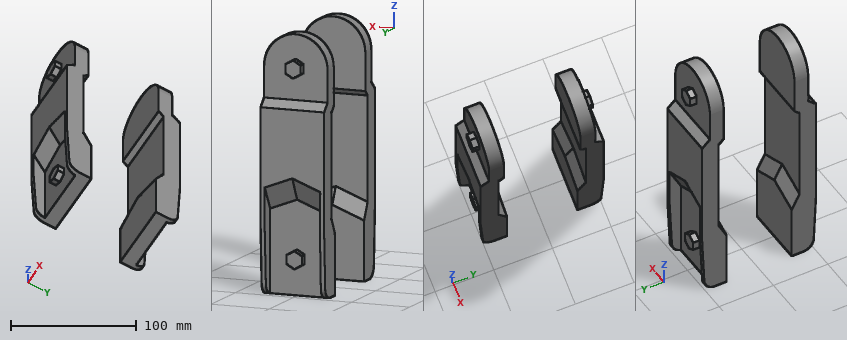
import cadquery as cq
import math

height = 212.5
width = 54.8
span = 105.0
half_width = width / 2
outer_y = -span / 2

tab_outer_depth = 7.2
tab_thickness = 12.7
body_thickness = 15.3
tab_inner_depth = tab_outer_depth + tab_thickness
outer_shoulder_top = 159.1
outer_shoulder_bottom = 152.5
inner_shoulder_top = 154.0
inner_shoulder_bottom = 149.5
taper_start = 55.0
taper_depth = 2.5
toe_radius = 9.8
round_center_z = height - half_width

roof_slope = 0.386
ramp_slope = 1.9

pad_depth = 22.5
pad_apex_z = 74.0

pocket_depth = 10.0
pocket_apex_z = 96.9
pocket_half_width = 23.8
pocket_floor_half_width = 23.2
cut_overrun = 4.2

bolt_flats = 13.0
bolt_height = 6.0
lower_bolt_z = 30.0


def depth_to_y(depth):
    return outer_y + depth


def roof_outline(depth, apex_z, half, bottom_z):
    """Closed outline with a pointed top, in a plane at the given depth."""
    y = depth_to_y(depth)
    eave_z = apex_z - roof_slope * half
    points = [(0, apex_z), (half, eave_z), (half, bottom_z), (-half, bottom_z), (-half, eave_z)]
    return cq.Wire.makePolygon([cq.Vector(x, y, z) for x, z in points], close=True)


def ramped_block(start, end, bottom_z):
    """Flat-sided block between two roof outlines, each given as depth, apex and half width."""
    outlines = [roof_outline(*section, bottom_z) for section in (start, end)]
    return cq.Workplane(obj=cq.Solid.makeLoft(outlines, True))


def make_plate():
    """Cranked plate with a thick inner pad and a tapered, rounded toe."""
    profile = [
        (tab_outer_depth, height),
        (tab_inner_depth, height),
        (tab_inner_depth, inner_shoulder_top),
        (body_thickness, inner_shoulder_bottom),
        (body_thickness, 0),
        (taper_depth, 0),
        (0, taper_start),
        (0, outer_shoulder_bottom),
        (tab_outer_depth, outer_shoulder_top),
    ]
    plate = (
        cq.Workplane("YZ")
        .polyline([(depth_to_y(depth), z) for depth, z in profile])
        .close()
        .extrude(half_width, both=True)
    )
    toe_point = (0, depth_to_y(taper_depth), 0)
    toe_edge = cq.selectors.NearestToPointSelector(toe_point)
    return plate.union(make_pad()).edges(toe_edge).fillet(toe_radius)


def make_pad():
    pad_drop = ramp_slope * (pad_depth - body_thickness)
    return ramped_block(
        (body_thickness, pad_apex_z, half_width),
        (pad_depth, pad_apex_z - pad_drop, half_width),
        0,
    )


def make_pocket():
    pocket_drop = ramp_slope * pocket_depth
    return ramped_block(
        (0, pocket_apex_z, pocket_half_width),
        (pocket_depth, pocket_apex_z - pocket_drop, pocket_floor_half_width),
        -cut_overrun,
    )


def make_round_end_envelope():
    """Front outline of a half: straight sides and a semicircular top."""
    return (
        cq.Workplane("XZ")
        .moveTo(-half_width, 0)
        .lineTo(half_width, 0)
        .lineTo(half_width, round_center_z)
        .threePointArc((0, height), (-half_width, round_center_z))
        .close()
        .extrude(span / 2)
    )


def make_bolt_head(seat_depth, z):
    """Hexagonal head standing outward from its seat, with corners pointing up and down."""
    corner_diameter = bolt_flats / math.cos(math.pi / 6)
    return (
        cq.Workplane("XZ", origin=(0, depth_to_y(seat_depth), z))
        .transformed(rotate=(0, 0, 90))
        .polygon(6, corner_diameter)
        .extrude(bolt_height)
    )


def make_half():
    half = make_plate().intersect(make_round_end_envelope()).cut(make_pocket())
    half = half.union(make_bolt_head(tab_outer_depth, round_center_z))
    return half.union(make_bolt_head(pocket_depth, lower_bolt_z))


halves = [make_half().rotate((0, 0, 0), (0, 0, 1), angle) for angle in (0, 180)]

result = cq.Compound.makeCompound([half.val() for half in halves])